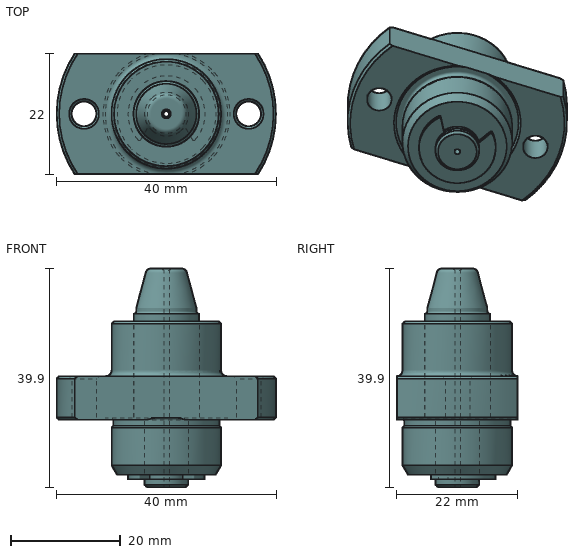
import cadquery as cq
import math

total_height = 39.9
housing_bottom_z = 2.3
lower_length = 10.0
flange_thickness = 8.0
upper_length = 10.0
flange_bottom_z = housing_bottom_z + lower_length
flange_top_z = flange_bottom_z + flange_thickness
housing_top_z = flange_top_z + upper_length

edge_chamfer = 0.5

flange_radius = 20.0
flange_width = 22.0
screw_spacing = 30.0
screw_hole_radius = 2.25

body_radius = 10.0
root_fillet = flange_width / 2 - body_radius
lead_in_depth = 1.0
lead_in_height = lead_in_depth / math.tan(math.radians(30))

neck_depth = 0.3
neck_radius = body_radius - neck_depth
neck_length = 1.1
neck_chamfer_height = 0.3
undercut_depth = 0.4
undercut_rim_radius = 11.55
undercut_fillet = 0.5

guide_bore_radius = 6.0
guide_clearance = 0.05
guide_radius = guide_bore_radius - guide_clearance
guide_seat_z = flange_bottom_z

guide_protrusion = 1.35
cone_base_radius = 11.0 / 2
cone_base_height = 2.4
cone_angle = math.radians(15)
tip_fillet = 1.0
tip_flat_radius = 2.8

tail_radius = 4.0
groove_radius = 7.0 / 2
clip_thickness = 0.85
clip_bottom_z = housing_bottom_z - clip_thickness

bore_radius = 1.0 / 2
bore_chamfer = 0.3

clip_radius = 7.0
clip_corner_fillet = 0.25
mouth_angle = math.radians(60)
mouth_flare = math.radians(30)


def polar(center, radius, angle):
    """Point on a circle in the profile plane; the angle is in radians."""
    return (center[0] + radius * math.cos(angle), center[1] + radius * math.sin(angle))


def spin(profile):
    """Revolve a closed (radius, height) profile around the Z axis."""
    return profile.close().revolve(360, (0, 0, 0), (0, 1, 0))


def chamfered_drill(radius, chamfer, top_z, depth):
    """Tool for a hole going down from top_z, with a 45 degree chamfer at its mouth."""
    bottom_z = top_z - depth
    return spin(
        cq.Workplane("XZ")
        .moveTo(0, bottom_z)
        .lineTo(radius, bottom_z)
        .lineTo(radius, top_z - chamfer)
        .lineTo(radius + chamfer, top_z)
        .lineTo(0, top_z)
    )


def turned_housing():
    """Housing with a round flange and its stepped bore, before flats and screw holes."""
    undercut_z = flange_bottom_z + undercut_depth
    undercut_center = (neck_radius + undercut_fillet, undercut_z - undercut_fillet)
    root_center = (body_radius + root_fillet, flange_top_z + root_fillet)

    return spin(
        cq.Workplane("XZ")
        .moveTo(tail_radius, housing_bottom_z)
        .lineTo(body_radius - lead_in_depth, housing_bottom_z)
        .lineTo(body_radius, housing_bottom_z + lead_in_height)
        .lineTo(body_radius, flange_bottom_z - neck_length - neck_chamfer_height)
        .lineTo(neck_radius, flange_bottom_z - neck_length)
        .lineTo(neck_radius, undercut_z - undercut_fillet)
        .threePointArc(
            polar(undercut_center, undercut_fillet, math.radians(135)),
            (neck_radius + undercut_fillet, undercut_z),
        )
        .lineTo(undercut_rim_radius - undercut_depth, undercut_z)
        .lineTo(undercut_rim_radius, flange_bottom_z)
        .lineTo(flange_radius - edge_chamfer, flange_bottom_z)
        .lineTo(flange_radius, flange_bottom_z + edge_chamfer)
        .lineTo(flange_radius, flange_top_z - edge_chamfer)
        .lineTo(flange_radius - edge_chamfer, flange_top_z)
        .lineTo(body_radius + root_fillet, flange_top_z)
        .threePointArc(
            polar(root_center, root_fillet, math.radians(225)),
            (body_radius, flange_top_z + root_fillet),
        )
        .lineTo(body_radius, housing_top_z - edge_chamfer)
        .lineTo(body_radius - edge_chamfer, housing_top_z)
        .lineTo(guide_bore_radius, housing_top_z)
        .lineTo(guide_bore_radius, guide_seat_z)
        .lineTo(tail_radius, guide_seat_z)
    )


def cut_flats(body):
    """Cut the round flange to its width with two parallel flats."""
    envelope = cq.Workplane("XY").box(
        2 * flange_radius, flange_width, total_height, centered=(True, True, False)
    )
    return body.intersect(envelope)


def drill_screw_holes(body):
    """Two through holes in the flange, chamfered at the top face."""
    drill = chamfered_drill(screw_hole_radius, edge_chamfer, flange_top_z, flange_thickness)
    for side in (-1, 1):
        body = body.cut(drill.translate((side * screw_spacing / 2, 0, 0)))
    return body


def make_housing():
    """Flanged housing with the stepped bore that holds the pin."""
    return drill_screw_holes(cut_flats(turned_housing()))


def turned_pin():
    """Solid pin with its tail groove and conical tip."""
    guide_top_z = housing_top_z + guide_protrusion
    guide_fillet = guide_radius - cone_base_radius
    guide_fillet_center = (guide_radius, guide_top_z + guide_fillet)
    tip_center = (tip_flat_radius, total_height - tip_fillet)

    return spin(
        cq.Workplane("XZ")
        .moveTo(0, 0)
        .lineTo(tail_radius - edge_chamfer, 0)
        .lineTo(tail_radius, edge_chamfer)
        .lineTo(tail_radius, clip_bottom_z)
        .lineTo(groove_radius, clip_bottom_z)
        .lineTo(groove_radius, housing_bottom_z)
        .lineTo(tail_radius, housing_bottom_z)
        .lineTo(tail_radius, guide_seat_z)
        .lineTo(guide_radius, guide_seat_z)
        .lineTo(guide_radius, guide_top_z)
        .threePointArc(
            polar(guide_fillet_center, guide_fillet, math.radians(225)),
            (cone_base_radius, guide_top_z + guide_fillet),
        )
        .lineTo(cone_base_radius, housing_top_z + cone_base_height)
        .lineTo(*polar(tip_center, tip_fillet, cone_angle))
        .threePointArc(
            polar(tip_center, tip_fillet, (math.pi / 2 + cone_angle) / 2),
            (tip_flat_radius, total_height),
        )
        .lineTo(0, total_height)
    )


def clip_ring():
    """Open ring that fills the tail groove, with a flared mouth toward -Y."""
    clip_plane = cq.Workplane("XY", origin=(0, 0, clip_bottom_z))
    ring = clip_plane.circle(clip_radius).circle(groove_radius).extrude(clip_thickness)

    inner_x = groove_radius * math.sin(mouth_angle)
    inner_y = -groove_radius * math.cos(mouth_angle)
    outer_y = -clip_radius
    outer_x = inner_x + (inner_y - outer_y) * math.tan(mouth_flare)
    mouth = (
        clip_plane
        .polyline([(-inner_x, inner_y), (inner_x, inner_y), (outer_x, outer_y), (-outer_x, outer_y)])
        .close()
        .extrude(clip_thickness)
    )
    return ring.cut(mouth).edges("|Z").edges("<Y").fillet(clip_corner_fillet)


def make_pin():
    """Pin in one piece with the clip that holds it under the housing."""
    pin = turned_pin().union(clip_ring())
    return pin.cut(chamfered_drill(bore_radius, bore_chamfer, total_height, total_height))


housing = make_housing()
pin = make_pin()

result = cq.Compound.makeCompound([housing.solids().val(), pin.solids().val()])